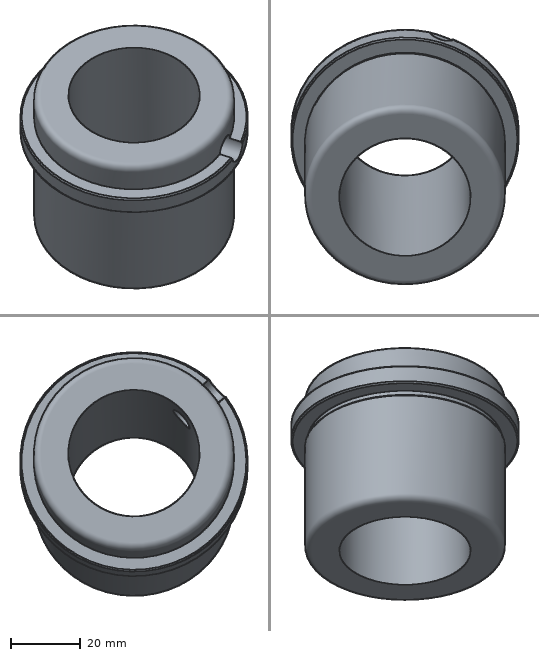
import cadquery as cq

flange_diameter = 66.0
body_diameter = 58.0
bore_diameter = 38.0
height = 52.0
flange_bottom = 37.0
flange_top = 42.9
end_fillet = 2.0
flange_chamfer = 0.45

groove_width = 1.3
groove_depth = 0.65
groove_chamfer = 0.65

hole_diameter = 7.0
hole_height = flange_top


def disc(diameter, bottom, top):
    """Solid disc on the Z axis between two heights."""
    return cq.Workplane("XY").workplane(offset=bottom).circle(diameter / 2).extrude(top - bottom)


def make_body():
    """Sleeve with rounded ends and a relief groove below the flange."""
    groove_bottom = flange_bottom - groove_width
    lower = disc(body_diameter, 0, groove_bottom)
    lower = lower.faces("<Z").edges().fillet(end_fillet).faces(">Z").edges().chamfer(groove_chamfer)
    neck = disc(body_diameter - 2 * groove_depth, groove_bottom - groove_chamfer, flange_bottom)
    upper = disc(body_diameter, flange_top, height).faces(">Z").edges().fillet(end_fillet)
    return lower.union(neck).union(upper)


def make_flange():
    """Locating collar with both rims chamfered."""
    return disc(flange_diameter, flange_bottom, flange_top).faces("<Z or >Z").edges().chamfer(flange_chamfer)


def make_radial_hole():
    """Cylinder from the axis out past the +X side of the flange."""
    return (
        cq.Workplane("YZ")
        .center(0, hole_height)
        .circle(hole_diameter / 2)
        .extrude(flange_diameter)
    )


bore = disc(bore_diameter, 0, height)
result = make_body().union(make_flange()).cut(bore).cut(make_radial_hole())